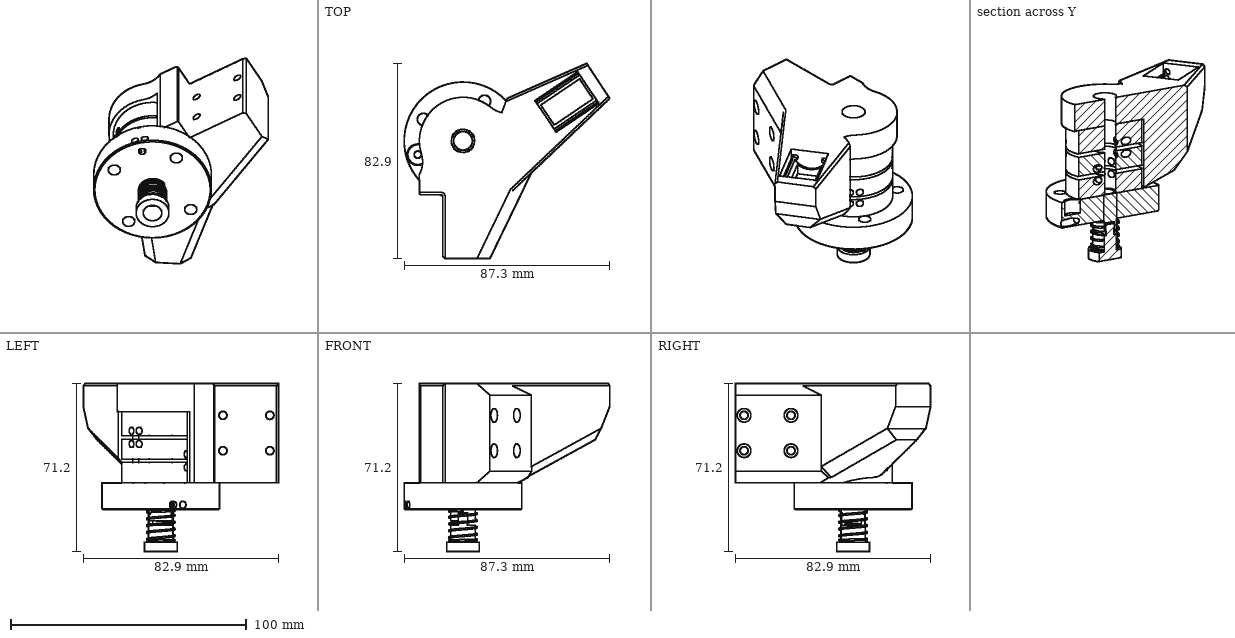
import cadquery as cq
import math

OVERALL_LENGTH = 87.3
BORE_RADIUS = 4.9

DISK_RADIUS = 50.0 / 2
DISK_HEIGHT = 11.4
DISK_EDGE_CHAMFER = 0.5
MOUNT_HOLE_RADIUS = 2.5
MOUNT_CIRCLE_RADIUS = 19.1
MOUNT_HOLE_ANGLE = 61.5
RECESS_RADIUS = 4.2
RECESS_DEPTH = 6.1
RECESS_CHAMFER = 0.35
RECESS_HOLE_RADIUS = 1.5
RECESS_CIRCLE_RADIUS = 20.1
RECESS_ANGLE = 197.0

RING_RADIUS = 16.7
RING_GAP = 1.4
LOWER_RING_HEIGHT = 8.6
MIDDLE_RING_HEIGHT = 8.55
UPPER_RING_HEIGHT = 10.2
UPPER_LINK_ANGLE = 139.0
LOWER_LINK_ANGLE = UPPER_LINK_ANGLE + 90
LINK_HOLE_RADIUS = 1.5
LINK_HOLE_SPACING = 4.3
LINK_HOLE_INSET = 2.1
LINK_HOLE_DEPTH = 8.7

HOUSING_HEIGHT = 42.15
HEAD_RADIUS = 18.5
SCALLOP_RADIUS = 11.0
CAVITY_RADIUS = 17.45
WALL_LIP = (-17.6, -12.2)
WALL_LIP_ANGLE = 219.7
ARM_LIP_ANGLE = 32.3
LIP_BULGE = 0.35
EDGE_CHAMFER = 1.05
STEP_CORNER_CHAMFER = 0.5
DEEP_CHAMFER = 5.0
BELLY_CHAMFER = 4.5
INNER_CORNER_RADIUS = 0.4

WALL_TOP = (-HEAD_RADIUS, -14.2)
STEP_FRONT_Y = -22.95
LEG_LEFT_X = -8.6
LEG_END_Y = -50.0
LEG_RIGHT_X = 11.4
LEG_SIDE_TOP = (29.1, -13.5)
LEG_HOLE_RADIUS = 1.7
LEG_HEAD_RADIUS = 2.9
LEG_GRIP = 8.6
LEG_HOLE_Y = -46.25
LEG_HOLE_Z = 25.0
LEG_HOLE_PITCH_Y = 19.9
LEG_HOLE_PITCH_Z = 15.0

ARM_ANGLE = 33.3
ARM_ROOT = (16.4, 11.95)
ARM_SHOULDER = (18.8, 18.1)
ARM_TIP_LEFT = (52.4, 32.9)
ARM_TIP_RIGHT = (OVERALL_LENGTH - DISK_RADIUS, 18.0)
ARM_SIDE_ANGLE = 43.5
ARM_SIDE_LENGTH = 63.7
ARM_NOSE_TOP = 43.7
ARM_NOSE_BEND = 34.4
ARM_NOSE_BOTTOM = 29.7
ARM_NOSE_SETBACK = 5.0
ARM_BELLY_SLOPE = 22.0

POCKET_CENTER = (44.1, 16.5)
POCKET_ANGLE = 34.0
POCKET_LENGTH = 21.8
POCKET_WIDTH = 16.1
POCKET_WALL_DEPTH = 4.8
TROUGH_WIDTH = 13.4
TROUGH_DEPTH = 8.5
WELL_LENGTH = 19.8
WELL_WIDTH = 10.2
WELL_DEPTH = 11.35
ROD_RADIUS = 1.3
ROD_OFFSET = 6.5
ROD_DEPTH = 3.8
ROD_OVERRUN = 1.75

TUBE_RADIUS = 5.2
TUBE_BORE_RADIUS = 3.9
TUBE_END = -4.7
NOTCH_TOP = -1.2
PRONG_WIDTH = 4.0
PRONG_TOP = -1.8
PLUNGER_SHOULDER = -6.55
CAP_RADIUS = 7.0
CAP_TOP = -13.7
CAP_HEIGHT = 4.0

WIRE_RADIUS = 0.35
COIL_RADIUS = 5.7
COIL_PITCH = 2.9
END_PITCH = 0.9
ACTIVE_TURNS = 4
TOP_TURN = 0.5
POINTS_PER_TURN = 12

HOUSING_BOTTOM = DISK_HEIGHT
HOUSING_TOP = HOUSING_BOTTOM + HOUSING_HEIGHT
LOWER_RING_TOP = DISK_HEIGHT + LOWER_RING_HEIGHT
MIDDLE_RING_BOTTOM = LOWER_RING_TOP + RING_GAP
MIDDLE_RING_TOP = MIDDLE_RING_BOTTOM + MIDDLE_RING_HEIGHT
UPPER_RING_BOTTOM = MIDDLE_RING_TOP + RING_GAP
CAVITY_TOP = UPPER_RING_BOTTOM + UPPER_RING_HEIGHT


def polar(radius, degrees):
    angle = math.radians(degrees)
    return (radius * math.cos(angle), radius * math.sin(angle))


def cylinder(radius, bottom, top, center=(0, 0)):
    return cq.Workplane("XY", origin=(*center, bottom)).circle(radius).extrude(top - bottom)


def tube(outer_radius, inner_radius, bottom, top):
    return cylinder(outer_radius, bottom, top).cut(cylinder(inner_radius, bottom, top))


def prism(points, bottom, top):
    return cq.Workplane("XY", origin=(0, 0, bottom)).polyline(points).close().extrude(top - bottom)


def chamfer_at(body, size, point):
    """Chamfer the one edge whose middle lies nearest to the point."""
    return body.edges(cq.selectors.NearestToPointSelector(point)).chamfer(size)


def midpoint(a, b):
    return ((a[0] + b[0]) / 2, (a[1] + b[1]) / 2)


def link_holes(angle, height, start, length):
    """Two parallel round holes along the given direction, beginning at a distance from the axis."""
    along = polar(1, angle)
    plane = cq.Plane(origin=(start * along[0], start * along[1], height),
                     xDir=(-along[1], along[0], 0), normal=(*along, 0))
    places = [(-LINK_HOLE_SPACING / 2, 0), (LINK_HOLE_SPACING / 2, 0)]
    return cq.Workplane(plane).pushPoints(places).circle(LINK_HOLE_RADIUS).extrude(length)


def make_disk():
    disk = cylinder(DISK_RADIUS, 0, DISK_HEIGHT).faces("<Z").edges().chamfer(DISK_EDGE_CHAMFER)
    disk = disk.cut(cylinder(TUBE_RADIUS, 0, DISK_HEIGHT))
    for quarter in range(4):
        center = polar(MOUNT_CIRCLE_RADIUS, MOUNT_HOLE_ANGLE + 90 * quarter)
        disk = disk.cut(cylinder(MOUNT_HOLE_RADIUS, 0, DISK_HEIGHT, center))

    center = polar(RECESS_CIRCLE_RADIUS, RECESS_ANGLE)
    recess = cylinder(RECESS_RADIUS, DISK_HEIGHT - RECESS_DEPTH, DISK_HEIGHT, center)
    bevel = (
        cq.Workplane("XY", origin=(*center, DISK_HEIGHT))
        .circle(RECESS_RADIUS + RECESS_CHAMFER)
        .workplane(offset=-RECESS_CHAMFER)
        .circle(RECESS_RADIUS)
        .loft()
    )
    disk = disk.cut(recess).cut(bevel)
    disk = disk.cut(cylinder(RECESS_HOLE_RADIUS, 0, DISK_HEIGHT, center))
    return disk.cut(link_holes(RECESS_ANGLE, LINK_HOLE_INSET, DISK_RADIUS - LINK_HOLE_DEPTH, DISK_RADIUS))


def make_ring(bottom, top, holes):
    """Bored ring; holes lists the direction and height of each pair of cross holes."""
    ring = tube(RING_RADIUS, BORE_RADIUS, bottom, top)
    for angle, height in holes:
        ring = ring.cut(link_holes(angle, height, -RING_RADIUS, 2 * RING_RADIUS))
    return ring


def make_lower_ring():
    holes = [(LOWER_LINK_ANGLE, LOWER_RING_TOP - LINK_HOLE_INSET)]
    return make_ring(DISK_HEIGHT, LOWER_RING_TOP, holes)


def make_middle_ring():
    holes = [
        (LOWER_LINK_ANGLE, MIDDLE_RING_BOTTOM + LINK_HOLE_INSET),
        (UPPER_LINK_ANGLE, MIDDLE_RING_TOP - LINK_HOLE_INSET),
    ]
    return make_ring(MIDDLE_RING_BOTTOM, MIDDLE_RING_TOP, holes)


def make_upper_ring():
    holes = [(UPPER_LINK_ANGLE, UPPER_RING_BOTTOM + LINK_HOLE_INSET)]
    return make_ring(UPPER_RING_BOTTOM, CAVITY_TOP, holes)


def scallop_center_through(point, side):
    """Center direction of the concave arc that touches the head and passes through the point."""
    distance = math.hypot(*point)
    reach = HEAD_RADIUS + SCALLOP_RADIUS
    cosine = (reach**2 + distance**2 - SCALLOP_RADIUS**2) / (2 * reach * distance)
    return math.degrees(math.atan2(point[1], point[0]) + side * math.acos(cosine))


def scallop_middle(angle, end):
    """Point halfway along the concave arc between the head and the end point."""
    center = polar(HEAD_RADIUS + SCALLOP_RADIUS, angle)
    middle = midpoint(polar(HEAD_RADIUS, angle), end)
    dx = middle[0] - center[0]
    dy = middle[1] - center[1]
    scale = SCALLOP_RADIUS / math.hypot(dx, dy)
    return (center[0] + dx * scale, center[1] + dy * scale)


def make_core():
    """Head and leg without the arm."""
    arm_scallop = scallop_center_through(ARM_ROOT, 1)
    wall_scallop = scallop_center_through(WALL_TOP, -1)
    leg_corner = (LEG_RIGHT_X, LEG_END_Y)
    core = (
        cq.Workplane("XY", origin=(0, 0, HOUSING_BOTTOM))
        .moveTo(*WALL_TOP)
        .lineTo(-HEAD_RADIUS, STEP_FRONT_Y)
        .lineTo(LEG_LEFT_X, STEP_FRONT_Y)
        .lineTo(LEG_LEFT_X, LEG_END_Y)
        .lineTo(*leg_corner)
        .lineTo(*LEG_SIDE_TOP)
        .lineTo(*ARM_ROOT)
        .threePointArc(scallop_middle(arm_scallop, ARM_ROOT), polar(HEAD_RADIUS, arm_scallop))
        .threePointArc(polar(HEAD_RADIUS, (arm_scallop + wall_scallop % 360) / 2),
                       polar(HEAD_RADIUS, wall_scallop))
        .threePointArc(scallop_middle(wall_scallop, WALL_TOP), WALL_TOP)
        .close()
        .extrude(HOUSING_HEIGHT)
    )
    middle_z = HOUSING_BOTTOM + HOUSING_HEIGHT / 2
    core = chamfer_at(core, STEP_CORNER_CHAMFER, (-HEAD_RADIUS, STEP_FRONT_Y, middle_z))
    core = chamfer_at(core, EDGE_CHAMFER, (LEG_LEFT_X, LEG_END_Y, middle_z))
    inner_corner = cq.selectors.NearestToPointSelector((LEG_LEFT_X, STEP_FRONT_Y, middle_z))
    core = core.edges(inner_corner).fillet(INNER_CORNER_RADIUS)
    leg_side = midpoint(leg_corner, LEG_SIDE_TOP)
    core = chamfer_at(core, DEEP_CHAMFER, (*leg_side, HOUSING_TOP))
    core = chamfer_at(core, DEEP_CHAMFER, (*leg_side, HOUSING_BOTTOM))
    step_edge = ((LEG_LEFT_X - HEAD_RADIUS) / 2, STEP_FRONT_Y, HOUSING_TOP)
    leg_edge = (LEG_LEFT_X, (STEP_FRONT_Y + LEG_END_Y) / 2, HOUSING_TOP)
    nearest = cq.selectors.NearestToPointSelector
    return core.edges(nearest(step_edge) + nearest(leg_edge)).chamfer(EDGE_CHAMFER)


def along_arm(point):
    """Distance of a plan point from the bore axis, measured along the arm."""
    direction = polar(1, ARM_ANGLE)
    return point[0] * direction[0] + point[1] * direction[1]


def make_side_envelope():
    """Side profile of the arm, swept across it: sloped nose and sloped underside."""
    tip = along_arm(ARM_TIP_RIGHT)
    nose = tip - ARM_NOSE_SETBACK
    tail = -OVERALL_LENGTH
    tail_drop = (nose - tail) * math.tan(math.radians(ARM_BELLY_SLOPE))
    margin = 0.9
    nose_slope = ARM_NOSE_SETBACK / (ARM_NOSE_TOP - ARM_NOSE_BEND)
    direction = polar(1, ARM_ANGLE)
    plane = cq.Plane(origin=(0, 0, 0), xDir=(*direction, 0), normal=(direction[1], -direction[0], 0))
    return (
        cq.Workplane(plane)
        .moveTo(tail, ARM_NOSE_BOTTOM - tail_drop)
        .lineTo(nose, ARM_NOSE_BOTTOM)
        .lineTo(nose, ARM_NOSE_BEND)
        .lineTo(tip + margin * nose_slope, ARM_NOSE_TOP + margin)
        .lineTo(tip + margin * nose_slope, HOUSING_TOP)
        .lineTo(tail, HOUSING_TOP)
        .close()
        .extrude(OVERALL_LENGTH, both=True)
    )


def make_arm(envelope):
    side = polar(ARM_SIDE_LENGTH, ARM_SIDE_ANGLE)
    side_end = (ARM_TIP_RIGHT[0] - side[0], ARM_TIP_RIGHT[1] - side[1])
    plan = [ARM_ROOT, ARM_SHOULDER, ARM_TIP_LEFT, ARM_TIP_RIGHT, side_end]
    arm = prism(plan, -HOUSING_TOP, HOUSING_TOP).intersect(envelope)

    nose = along_arm(ARM_TIP_RIGHT) - ARM_NOSE_SETBACK
    for start, end in [(ARM_SHOULDER, ARM_TIP_LEFT), (side_end, ARM_TIP_RIGHT)]:
        arm = chamfer_at(arm, EDGE_CHAMFER, (*midpoint(start, end), HOUSING_TOP))
        share = (nose - along_arm(start)) / (along_arm(end) - along_arm(start))
        belly_end = (start[0] + share * (end[0] - start[0]), start[1] + share * (end[1] - start[1]))
        belly = midpoint(start, belly_end)
        drop = (nose - along_arm(belly)) * math.tan(math.radians(ARM_BELLY_SLOPE))
        arm = chamfer_at(arm, BELLY_CHAMFER, (*belly, ARM_NOSE_BOTTOM - drop))
    above = cq.Workplane("XY").box(4 * OVERALL_LENGTH, 4 * OVERALL_LENGTH, OVERALL_LENGTH,
                                   centered=(True, True, False))
    return arm.intersect(above.translate((0, 0, HOUSING_BOTTOM)))


def make_ring_cavity():
    """Round clearance for the rings, open to the side through the head wall."""
    far = 2 * HEAD_RADIUS
    opening = (
        cq.Workplane("XY", origin=(0, 0, HOUSING_BOTTOM))
        .moveTo(*polar(CAVITY_RADIUS, ARM_LIP_ANGLE))
        .sagittaArc(ARM_ROOT, LIP_BULGE)
        .lineTo(*ARM_SHOULDER)
        .lineTo(ARM_SHOULDER[0], far)
        .lineTo(-far, far)
        .lineTo(-far, WALL_LIP[1])
        .lineTo(*WALL_LIP)
        .sagittaArc(polar(CAVITY_RADIUS, WALL_LIP_ANGLE), LIP_BULGE)
        .close()
        .extrude(CAVITY_TOP - HOUSING_BOTTOM)
    )
    return cylinder(CAVITY_RADIUS, HOUSING_BOTTOM, CAVITY_TOP).union(opening)


def make_leg_holes():
    """Screw holes across the leg, enlarged on the slanted side."""
    places = [
        (LEG_HOLE_Y + i * LEG_HOLE_PITCH_Y, LEG_HOLE_Z + j * LEG_HOLE_PITCH_Z)
        for i in range(2) for j in range(2)
    ]
    face = cq.Workplane("YZ", origin=(LEG_LEFT_X, 0, 0)).pushPoints(places)
    seat = cq.Workplane("YZ", origin=(LEG_LEFT_X + LEG_GRIP, 0, 0)).pushPoints(places)
    shanks = face.circle(LEG_HOLE_RADIUS).extrude(OVERALL_LENGTH)
    return shanks.union(seat.circle(LEG_HEAD_RADIUS).extrude(OVERALL_LENGTH))


def make_arm_pocket():
    """Straight-walled mouth, round-bottomed trough, square well and two rod bores."""
    direction = polar(1, POCKET_ANGLE)

    def cross_section(length):
        start = (POCKET_CENTER[0] - direction[0] * length / 2,
                 POCKET_CENTER[1] - direction[1] * length / 2, HOUSING_TOP)
        return cq.Workplane(cq.Plane(origin=start, xDir=(-direction[1], direction[0], 0),
                                     normal=(*direction, 0)))

    half = POCKET_WIDTH / 2
    trough = (
        cross_section(POCKET_LENGTH)
        .moveTo(-half, 0)
        .lineTo(-half, -POCKET_WALL_DEPTH)
        .lineTo(-TROUGH_WIDTH / 2, -POCKET_WALL_DEPTH)
        .threePointArc((0, -TROUGH_DEPTH), (TROUGH_WIDTH / 2, -POCKET_WALL_DEPTH))
        .lineTo(half, -POCKET_WALL_DEPTH)
        .lineTo(half, 0)
        .close()
        .extrude(POCKET_LENGTH)
    )
    well = (
        cross_section(WELL_LENGTH)
        .center(0, -WELL_DEPTH / 2)
        .rect(WELL_WIDTH, WELL_DEPTH)
        .extrude(WELL_LENGTH)
    )
    rod_length = POCKET_LENGTH + 2 * ROD_OVERRUN
    rods = (
        cross_section(rod_length)
        .pushPoints([(-ROD_OFFSET, -ROD_DEPTH), (ROD_OFFSET, -ROD_DEPTH)])
        .circle(ROD_RADIUS)
        .extrude(rod_length)
    )
    return trough.union(well).union(rods)


def make_housing():
    envelope = make_side_envelope()
    housing = make_core().intersect(envelope).union(make_arm(envelope))
    housing = housing.cut(make_ring_cavity())
    housing = housing.cut(cylinder(BORE_RADIUS, CAVITY_TOP, HOUSING_TOP))
    return housing.cut(make_leg_holes()).cut(make_arm_pocket())


def make_prongs(bottom, top):
    """Two wall sections of the tube, one on each Y side."""
    strip = cq.Workplane("XY", origin=(0, 0, bottom)).rect(PRONG_WIDTH, 4 * TUBE_RADIUS).extrude(top - bottom)
    return tube(TUBE_RADIUS, TUBE_BORE_RADIUS, bottom, top).intersect(strip)


def make_guide_tube():
    """Tube seated through the disk, notched below it for the plunger prongs."""
    body = tube(TUBE_RADIUS, TUBE_BORE_RADIUS, TUBE_END, DISK_HEIGHT)
    return body.cut(make_prongs(TUBE_END, NOTCH_TOP))


def make_plunger():
    """Cap and tube with two prongs that slide in the guide tube notches."""
    cap = tube(CAP_RADIUS, TUBE_BORE_RADIUS, CAP_TOP - CAP_HEIGHT, CAP_TOP)
    stem = tube(TUBE_RADIUS, TUBE_BORE_RADIUS, CAP_TOP, PLUNGER_SHOULDER)
    return cap.union(stem).union(make_prongs(PLUNGER_SHOULDER, PRONG_TOP))


def make_spring():
    """Right-handed spring between cap and disk: closed turn, active turns, flattened end."""
    bottom = CAP_TOP + WIRE_RADIUS
    active_start = bottom + END_PITCH
    active_end = active_start + ACTIVE_TURNS * COIL_PITCH
    top_rise = -WIRE_RADIUS - active_end

    def height(turn):
        if turn <= 1:
            return bottom + END_PITCH * turn
        if turn <= 1 + ACTIVE_TURNS:
            return active_start + COIL_PITCH * (turn - 1)
        return active_end + top_rise * (turn - 1 - ACTIVE_TURNS) / TOP_TURN

    count = round((1 + ACTIVE_TURNS + TOP_TURN) * POINTS_PER_TURN)
    turns = [i / POINTS_PER_TURN for i in range(count + 1)]
    points = [cq.Vector(*polar(COIL_RADIUS, 90 + 360 * turn), height(turn)) for turn in turns]
    path = cq.Workplane("XY").spline(points)
    start = cq.Plane(origin=points[0].toTuple(), xDir=(0, 1, 0), normal=(-1, 0, 0))
    return cq.Workplane(start).circle(WIRE_RADIUS).sweep(path, isFrenet=True)


housing = make_housing()
disk = make_disk()
lower_ring = make_lower_ring()
middle_ring = make_middle_ring()
upper_ring = make_upper_ring()
guide_tube = make_guide_tube()
plunger = make_plunger()
spring = make_spring()

result = cq.Compound.makeCompound([
    housing.solids().val(),
    disk.solids().val(),
    lower_ring.solids().val(),
    middle_ring.solids().val(),
    upper_ring.solids().val(),
    guide_tube.solids().val(),
    plunger.solids().val(),
    spring.solids().val(),
])